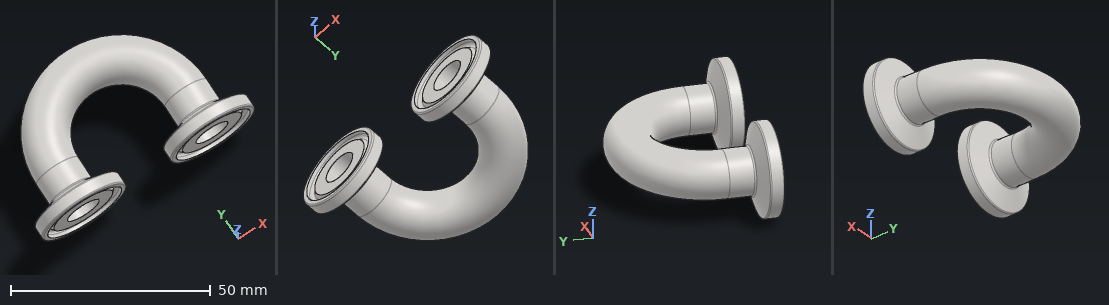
import cadquery as cq
import math

overall_width = 63.1
overall_length = 38.1
flange_diameter = 25.0
tube_diameter = 12.7
bore_diameter = 9.4

rim_thickness = 3.7
hub_length = 5.9
rim_fillet = 0.4
hub_fillet = 0.5

centre_recess = 0.6
groove_outer_diameter = 21.9
groove_wall_diameter = 19.2
groove_inner_diameter = 17.5
groove_wall_angle = 42.0

corner_reach = 0.05

flange_radius = flange_diameter / 2
tube_radius = tube_diameter / 2
bore_radius = bore_diameter / 2
bend_radius = (overall_width - flange_diameter) / 2
leg_length = overall_length - bend_radius - tube_radius


def u_bend(radius):
    """Solid round bar following the half-circle bend and both straight legs."""
    path = (
        cq.Workplane("XY")
        .moveTo(-bend_radius, 0)
        .lineTo(-bend_radius, leg_length)
        .threePointArc((0, leg_length + bend_radius), (bend_radius, leg_length))
        .lineTo(bend_radius, 0)
    )
    return cq.Workplane("XZ", origin=(-bend_radius, 0, 0)).circle(radius).sweep(path)


def flange():
    """Clamp flange around the Y axis, with its sealing face at Y = 0."""
    body = (
        cq.Workplane("XY")
        .lineTo(flange_radius, 0)
        .lineTo(flange_radius, rim_thickness)
        .lineTo(tube_radius, hub_length)
        .lineTo(tube_radius, leg_length)
        .lineTo(0, leg_length)
        .close()
        .revolve(360, (0, 0, 0), (0, 1, 0))
    )
    hub_corner = cq.selectors.BoxSelector(
        (-flange_diameter, hub_length - corner_reach, -flange_diameter),
        (flange_diameter, hub_length + corner_reach, flange_diameter),
    )
    body = body.edges("%CIRCLE").edges(hub_corner).fillet(hub_fillet)
    rim_edges = cq.selectors.RadiusNthSelector(-1)
    return body.edges(rim_edges).fillet(rim_fillet)


def face_recess():
    """Cutter for the recessed centre and its groove, whose bottom is tangent to both groove walls."""
    outer = groove_outer_diameter / 2
    wall = groove_wall_diameter / 2
    inner = groove_inner_diameter / 2
    angle = math.radians(groove_wall_angle)
    bottom_radius = (outer - wall) / (1 + math.cos(angle))
    wall_depth = centre_recess + (wall - inner) / math.tan(angle)
    arc_centre_depth = wall_depth - bottom_radius * math.sin(angle)
    return (
        cq.Workplane("XY")
        .lineTo(0, centre_recess)
        .lineTo(inner, centre_recess)
        .lineTo(wall, wall_depth)
        .threePointArc((outer - bottom_radius, arc_centre_depth + bottom_radius), (outer, arc_centre_depth))
        .lineTo(outer, 0)
        .close()
        .revolve(360, (0, 0, 0), (0, 1, 0))
    )


result = u_bend(tube_radius)
for flange_x in (-bend_radius, bend_radius):
    flange_position = (flange_x, 0, 0)
    result = result.union(flange().translate(flange_position))
    result = result.cut(face_recess().translate(flange_position))
result = result.cut(u_bend(bore_radius))